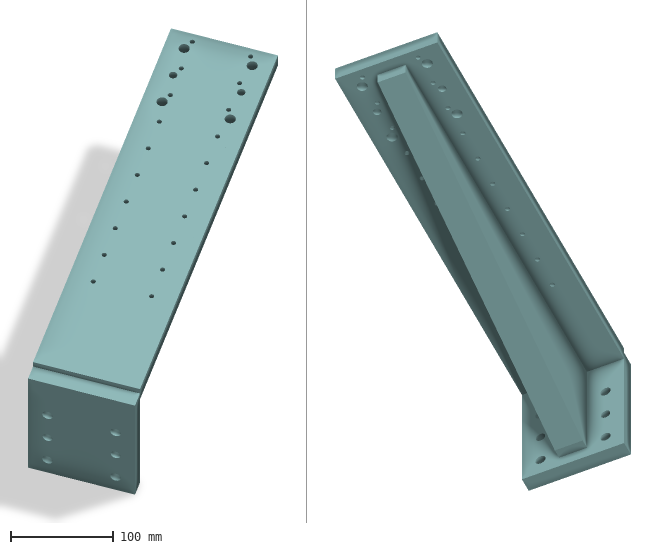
import cadquery as cq

width = 110.0
length = 455.0
height = 147.0

plate_thickness = 16.0
top_step = 7.0
mount_height = height - top_step
shelf_underside = height - plate_thickness

gusset_width = 30.0
gusset_setback = 12.7
gusset_tip_depth = 12.0
gusset_root_depth = 118.0
gusset_foot = 10.0

row_pitch = 35.0
column_spacing = 70.0
edge_margin = 20.0
bolt_diameter = 11.0
shelf_dowel_diameter = 8.0
mount_dowel_diameter = 10.0

small_diameter = 5.0
small_column_spacing = 60.0
small_margin = 9.5
small_rows = 10


def through_hole(plane, x, y, z, diameter):
    """Cylinder centred on a plate, long enough to pass right through it."""
    drill = cq.Workplane(plane, origin=(x, y, z))
    return drill.circle(diameter / 2).extrude(plate_thickness, both=True)


def make_shelf():
    return cq.Workplane("XY").box(
        width, length - plate_thickness, plate_thickness, centered=(True, False, False)
    ).translate((0, plate_thickness, shelf_underside))


def make_mounting_plate():
    return cq.Workplane("XY").box(
        width, plate_thickness, mount_height, centered=(True, False, False)
    )


def make_gusset():
    tip_y = length - gusset_setback
    root_z = shelf_underside - gusset_root_depth
    outline = [
        (plate_thickness, shelf_underside),
        (tip_y, shelf_underside),
        (tip_y, shelf_underside - gusset_tip_depth),
        (plate_thickness + gusset_foot, root_z),
        (plate_thickness, root_z),
    ]
    profile = cq.Workplane("YZ").polyline(outline).close()
    return profile.extrude(gusset_width / 2, both=True)


result = make_shelf().union(make_mounting_plate()).union(make_gusset())

shelf_mid_z = height - plate_thickness / 2
mount_mid_y = plate_thickness / 2

for side in (-1, 1):
    bolt_x = side * column_spacing / 2
    small_x = side * small_column_spacing / 2

    for row in range(3):
        is_dowel = row == 1
        offset = edge_margin + row * row_pitch
        shelf_diameter = shelf_dowel_diameter if is_dowel else bolt_diameter
        mount_diameter = mount_dowel_diameter if is_dowel else bolt_diameter
        result = result.cut(through_hole("XY", bolt_x, length - offset, shelf_mid_z, shelf_diameter))
        result = result.cut(through_hole("XZ", bolt_x, mount_mid_y, offset, mount_diameter))

    for row in range(small_rows):
        small_y = length - small_margin - row * row_pitch
        result = result.cut(through_hole("XY", small_x, small_y, shelf_mid_z, small_diameter))